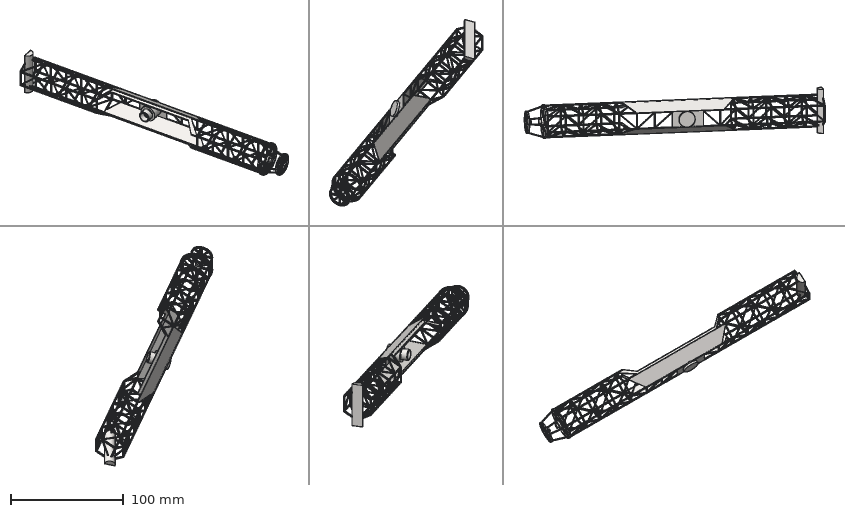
import cadquery as cq
import math

HEX_RADIUS = 15.0
WALL = 1.0
HEX_APOTHEM = HEX_RADIUS * math.cos(math.pi / 6)
TRUSS_LENGTH = 250.0

CHORD_WIDTH = 0.8
POST_WIDTH = 1.0
BRACE_WIDTH = 0.55
WINDOW_HALF = HEX_RADIUS / 2 - CHORD_WIDTH

BAY = 16.0
LEFT_BAYS = 5
RIGHT_BAYS = 4
FIRST_POST = POST_WIDTH / 2
LAST_POST = TRUSS_LENGTH - POST_WIDTH / 2
LEFT_MID_POST = FIRST_POST + LEFT_BAYS * BAY
RIGHT_MID_POST = LAST_POST - RIGHT_BAYS * BAY
BACK_LEFT_POST = 94.6
PANEL_START = 109.5
PANEL_END = 137.6

OPENING_START = 80.0
OPENING_END = 179.3
OPENING_SLANT = 9.4
FLANGE_WIDTH = 2.8

LONG_PLATE_WIDE = (78.0, 185.4)
LONG_PLATE_NARROW = (89.7, 171.0)
SHORT_PLATE_WIDE = (79.3, 181.1)
SHORT_PLATE_NARROW = (91.3, 169.6)
LONG_PLATE_ANGLE = -60

END_POST_RADIUS = 5.0
END_POST_HEIGHT = 40.0

PORT_X = 124.6
PORT_RADIUS = 7.2
PORT_BACK_Y = 15.0
PORT_STEP_Y = 2.0
PORT_TUBE_RADIUS = 5.0
PORT_TUBE_END_Y = -4.5
PORT_TUBE_CHAMFER = 0.6
PORT_BORE_RADIUS = 4.0

TOTAL_LENGTH = 266.93
RING_WIDTH = 1.5
RING_WALL = 1.2
LARGE_RING_RADIUS = 15.0
SMALL_RING_RADIUS = 10.0
LARGE_RING_X = TRUSS_LENGTH
SMALL_RING_X = TOTAL_LENGTH - RING_WIDTH
SPOKE_COUNT = 8
SPOKE_WIDTH = 0.8
STRUT_COUNT = 4
STRUT_WIDTH = 0.8
LARGE_HUB_RADIUS = 3.8
LARGE_HUB_END = 253.6
HUB_NOSE_RADIUS = 2.0
HUB_NOSE_END = 255.7
SMALL_HUB_START = 262.4
SMALL_HUB_CHAMFER = 1.0


def window(points, start_y, depth):
    """Prism over an outline in the XZ plane, from start_y towards +Y."""
    outline = cq.Workplane("XZ", origin=(0, start_y, 0)).polyline(points).close()
    return outline.extrude(-depth).val()


def through_window(outline):
    """Prism through the -Y and +Y sides of the tube."""
    return window(outline, -HEX_RADIUS, 2 * HEX_RADIUS)


def bay_outlines(left, right, rising):
    """Two triangles on either side of the brace of a bay; left and right are clear edges."""
    run = right - left
    rise = 2 * WINDOW_HALF
    diagonal = math.hypot(run, rise)
    gap_x = BRACE_WIDTH / 2 * diagonal / rise
    gap_z = BRACE_WIDTH / 2 * diagonal / run
    flip = 1 if rising else -1
    low = -WINDOW_HALF * flip
    high = WINDOW_HALF * flip
    below = [(left + gap_x, low), (right, low), (right, high - gap_z * flip)]
    above = [(left, low + gap_z * flip), (left, high), (right - gap_x, high)]
    return [below, above]


def post_bay(left_post, right_post, rising):
    """Bay between two post centres."""
    return bay_outlines(left_post + POST_WIDTH / 2, right_post - POST_WIDTH / 2, rising)


def regular_outlines():
    """Braced bays at both ends, the same on all six faces."""
    outlines = []
    for i in range(LEFT_BAYS):
        left = FIRST_POST + i * BAY
        outlines += post_bay(left, left + BAY, i % 2 == 0)
    for i in range(RIGHT_BAYS):
        left = RIGHT_MID_POST + i * BAY
        outlines += post_bay(left, left + BAY, i % 2 == 0)
    return outlines


def back_outlines():
    """Braced bays of the +Y face between the end stretches, skipping the closed panel."""
    half_post = POST_WIDTH / 2
    outlines = post_bay(LEFT_MID_POST, BACK_LEFT_POST, False)
    outlines += bay_outlines(BACK_LEFT_POST + half_post, PANEL_START, True)
    outlines += bay_outlines(PANEL_END, RIGHT_MID_POST - 2 * BAY - half_post, False)
    outlines += post_bay(RIGHT_MID_POST - 2 * BAY, RIGHT_MID_POST - BAY, False)
    outlines += post_bay(RIGHT_MID_POST - BAY, RIGHT_MID_POST, True)
    return outlines


def clear_outline(left, right):
    """Unbraced window of full height."""
    return [(left, -WINDOW_HALF), (right, -WINDOW_HALF), (right, WINDOW_HALF), (left, WINDOW_HALF)]


def plate_end_windows(wide, narrow, wide_side, right_outlines):
    """Windows beside a plate's sloping ends; wide_side is the z sign of the plate's wide side."""
    wide_z = wide_side * HEX_RADIUS / 2
    plate = through_window([
        (wide[0], wide_z),
        (narrow[0], -wide_z),
        (narrow[1], -wide_z),
        (wide[1], wide_z),
    ])
    left_outline = clear_outline(LEFT_MID_POST + POST_WIDTH / 2, narrow[0])
    return [through_window(outline).cut(plate) for outline in [left_outline] + right_outlines]


def long_plate_windows():
    right_outline = clear_outline(LONG_PLATE_NARROW[1], RIGHT_MID_POST - POST_WIDTH / 2)
    return plate_end_windows(LONG_PLATE_WIDE, LONG_PLATE_NARROW, -1, [right_outline])


def short_plate_windows():
    right_outlines = post_bay(RIGHT_MID_POST - BAY, RIGHT_MID_POST, False)
    return plate_end_windows(SHORT_PLATE_WIDE, SHORT_PLATE_NARROW, 1, right_outlines)


def straight_face_windows():
    """Windows of the back face, and the gap between the opening and the next post of the front face."""
    gap = clear_outline(OPENING_END - OPENING_SLANT, RIGHT_MID_POST - POST_WIDTH / 2)
    windows = [window(outline, 0, HEX_RADIUS) for outline in back_outlines()]
    return windows + [window(gap, -HEX_RADIUS, HEX_RADIUS)]


def truss():
    across_corners = 2 * HEX_RADIUS
    inner_corners = across_corners - 2 * WALL / math.cos(math.pi / 6)
    tube = (
        cq.Workplane("YZ")
        .transformed(rotate=(0, 0, 90))
        .polygon(6, across_corners)
        .polygon(6, inner_corners)
        .extrude(TRUSS_LENGTH)
    )
    directions = [
        (0, straight_face_windows()),
        (LONG_PLATE_ANGLE, long_plate_windows()),
        (-LONG_PLATE_ANGLE, short_plate_windows()),
    ]
    for angle, middle_windows in directions:
        windows = middle_windows + [through_window(outline) for outline in regular_outlines()]
        cutter = cq.Workplane(cq.Compound.makeCompound(windows))
        tube = tube.cut(cutter.rotate((0, 0, 0), (1, 0, 0), angle))
    return tube


def opening():
    return (
        cq.Workplane("XY", origin=(0, 0, -HEX_RADIUS))
        .polyline([
            (OPENING_START, -HEX_APOTHEM),
            (OPENING_START + OPENING_SLANT, -FLANGE_WIDTH),
            (OPENING_END - OPENING_SLANT, -FLANGE_WIDTH),
            (OPENING_END, -HEX_APOTHEM),
        ])
        .close()
        .extrude(2 * HEX_RADIUS)
    )


def end_post():
    return (
        cq.Workplane("XY", origin=(0, 0, -END_POST_HEIGHT / 2))
        .moveTo(0, -END_POST_RADIUS)
        .threePointArc((END_POST_RADIUS, 0), (0, END_POST_RADIUS))
        .close()
        .extrude(END_POST_HEIGHT)
    )


def port():
    body = (
        cq.Workplane("XZ", origin=(PORT_X, PORT_BACK_Y, 0))
        .circle(PORT_RADIUS)
        .extrude(PORT_BACK_Y - PORT_STEP_Y)
    )
    tube = (
        cq.Workplane("XZ", origin=(PORT_X, PORT_STEP_Y, 0))
        .circle(PORT_TUBE_RADIUS)
        .extrude(PORT_STEP_Y - PORT_TUBE_END_Y)
        .faces("<Y")
        .chamfer(PORT_TUBE_CHAMFER)
        .faces("<Y")
        .workplane()
        .circle(PORT_BORE_RADIUS)
        .cutBlind(-(PORT_STEP_Y - PORT_TUBE_END_Y))
    )
    return body.union(tube)


def spoked_ring(x, radius):
    plane = cq.Workplane("YZ", origin=(x, 0, 0))
    ring = plane.circle(radius).circle(radius - RING_WALL).extrude(RING_WIDTH)
    span = 2 * radius - RING_WALL
    for i in range(SPOKE_COUNT // 2):
        spoke = plane.rect(span, SPOKE_WIDTH).extrude(RING_WIDTH)
        ring = ring.union(spoke.rotate((0, 0, 0), (1, 0, 0), i * 360 / SPOKE_COUNT))
    return ring


def axial_cylinder(start, end, radius):
    return cq.Workplane("YZ", origin=(start, 0, 0)).circle(radius).extrude(end - start)


def docking_cage():
    """Two spoked rings with axial hubs, joined by slanted struts."""
    cage = spoked_ring(LARGE_RING_X, LARGE_RING_RADIUS)
    cage = cage.union(spoked_ring(SMALL_RING_X, SMALL_RING_RADIUS))
    cage = cage.union(axial_cylinder(LARGE_RING_X + RING_WIDTH, LARGE_HUB_END, LARGE_HUB_RADIUS))
    cage = cage.union(axial_cylinder(LARGE_HUB_END, HUB_NOSE_END, HUB_NOSE_RADIUS))
    small_hub = axial_cylinder(SMALL_HUB_START, SMALL_RING_X, HUB_NOSE_RADIUS)
    cage = cage.union(small_hub.faces("<X").chamfer(SMALL_HUB_CHAMFER))

    start = cq.Vector(LARGE_RING_X + RING_WIDTH / 2, 0, LARGE_RING_RADIUS - RING_WALL / 2)
    end = cq.Vector(SMALL_RING_X + RING_WIDTH / 2, 0, SMALL_RING_RADIUS - RING_WALL / 2)
    line = end - start
    across = cq.Plane(origin=start, xDir=(0, 1, 0), normal=line)
    strut = cq.Workplane(across).rect(STRUT_WIDTH, STRUT_WIDTH).extrude(line.Length)
    for i in range(STRUT_COUNT):
        cage = cage.union(strut.rotate((0, 0, 0), (1, 0, 0), i * 360 / STRUT_COUNT))
    return cage


result = truss().cut(opening()).union(end_post()).union(port()).union(docking_cage())